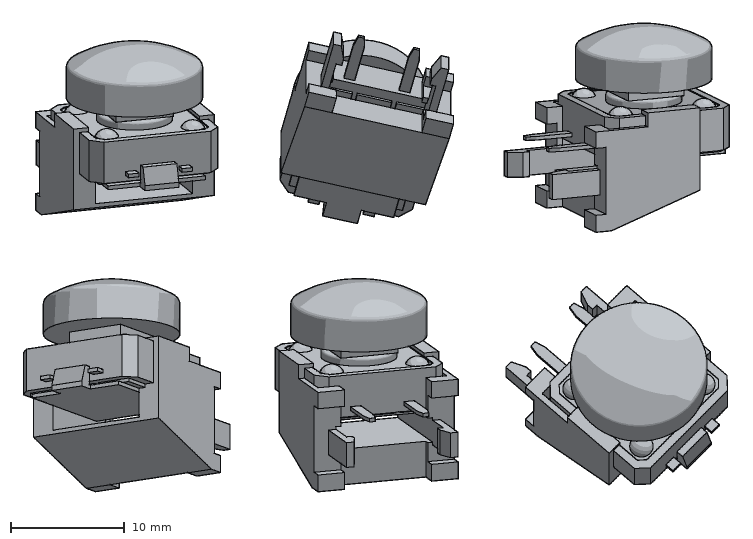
import cadquery as cq
import math


body_width = 12.0
body_half = body_width / 2
body_bottom = 6.15
body_top = 9.94
body_chamfer = 1.0
panel_width = 10.47
panel_chamfer = 0.59
panel_depth = 0.1
panel_floor = body_top - panel_depth

rivet_spacing = 8.0
rivet_diameter = 2.32
rivet_radius = rivet_diameter / 2
rivet_top = 10.47

plate_front_reach = 4.52
plate_back = 5.84
plate_bottom = 5.49
plate_top = 5.84
spacer_reach = 5.15
spacer_gap_inner = 1.57
spacer_gap_outer = 2.0
latch_width = 3.15
latch_top = 7.5
latch_top_reach = 6.68
latch_reach = 7.21
latch_slope_end = 5.95

pin_spacing = 5.0
pin_width = 0.99
pin_tip_width = 0.53
pin_bottom = 6.72
pin_top = 7.05
pin_front = -10.34
pin_taper_start = -9.37
pin_back = 6.85

collar_diameter = 6.7
collar_top = 10.58
collar_fillet = 0.25
stem_width = 5.35
cap_radius = 6.0
cap_bottom = 11.84
cap_side_top = 14.55
cap_top = 16.52
cap_edge_radius = 0.5

housing_width = 13.1
housing_front = -7.5
housing_back = 2.5
foot_depth = 0.99
column_face = housing_front + foot_depth
lower_foot_top = 1.54
upper_foot_bottom = 7.55
shoulder_height = 9.04
slope_end_height = 2.9
lip_front = -2.5
lip_top = 10.3
lip_inner = 5.16
column_inner = 4.06
window_half = 4.52
deck_top = 3.25

arm_tip = -11.09
arm_outer = 5.22
arm_bottom = 3.0
arm_top = 5.25
barb_inner = 3.99
barb_flat_start = -9.8
barb_back = -9.2


def block(x_range, y_range, z_range):
    """Axis-aligned block spanning the given (low, high) ranges."""
    sizes = [high - low for low, high in (x_range, y_range, z_range)]
    corner = (x_range[0], y_range[0], z_range[0])
    return cq.Workplane("XY").box(*sizes, centered=False).translate(corner)


def square_plate(width, bottom, top):
    """Square slab centred on the button axis."""
    return cq.Workplane("XY").workplane(offset=bottom).rect(width, width).extrude(top - bottom)


def side_prism(points, width):
    """Outline in the XZ plane, extruded evenly about Y = 0."""
    return cq.Workplane("XZ").polyline(points).close().extrude(width / 2, both=True)


def with_mirror(solid):
    """The solid together with its mirror image across Y = 0."""
    return solid.union(solid.mirror("XZ"))


def make_housing():
    outline = [
        (housing_front, 0),
        (-body_half, 0),
        (housing_back, slope_end_height),
        (housing_back, lip_top),
        (lip_front, lip_top),
        (lip_front, shoulder_height),
        (housing_front, shoulder_height),
        (housing_front, upper_foot_bottom),
        (column_face, upper_foot_bottom),
        (column_face, lower_foot_top),
        (housing_front, lower_foot_top),
    ]
    housing = side_prism(outline, housing_width)

    inside_x = (-body_half, housing_back)
    pocket = block(inside_x, (-body_half, body_half), (body_bottom, body_top))
    lip_gap = block(inside_x, (-lip_inner, lip_inner), (body_top, lip_top))
    plate_channel = block(inside_x, (-window_half, window_half), (plate_bottom, body_bottom))

    column_gap = block((housing_front, -body_half), (-column_inner, column_inner), (0, shoulder_height))
    window = block((housing_front, housing_back), (-window_half, window_half), (deck_top, plate_bottom))
    for opening in (pocket, lip_gap, plate_channel, column_gap, window):
        housing = housing.cut(opening)
    return housing


def make_snap_arms():
    outline = [
        (-body_half, arm_outer),
        (arm_tip, arm_outer),
        (arm_tip, window_half),
        (barb_flat_start, barb_inner),
        (barb_back, barb_inner),
        (barb_back, window_half),
        (-body_half, window_half),
    ]
    arm = cq.Workplane("XY").workplane(offset=arm_bottom).polyline(outline).close()
    return with_mirror(arm.extrude(arm_top - arm_bottom))


def make_body():
    body = square_plate(body_width, body_bottom, body_top).edges("|Z").chamfer(body_chamfer)
    recess = square_plate(panel_width, panel_floor, body_top).edges("|Z").chamfer(panel_chamfer)
    body = body.cut(recess)
    rivet_centers = cq.Workplane("XY").rect(rivet_spacing, rivet_spacing, forConstruction=True).vertices()
    spheres = rivet_centers.sphere(rivet_radius).translate((0, 0, rivet_top - rivet_radius))
    heads = spheres.intersect(square_plate(body_width, panel_floor, rivet_top))
    return body.union(heads)


def make_base():
    plate = block((-plate_front_reach, plate_back), (-window_half, window_half), (plate_bottom, plate_top))
    spacer = square_plate(2 * spacer_reach, plate_top, body_bottom)
    spacer_gap = block(
        (-body_half, body_half), (spacer_gap_inner, spacer_gap_outer), (plate_top, body_bottom)
    )
    latch = side_prism(
        [
            (0, plate_bottom),
            (latch_reach, plate_bottom),
            (latch_reach, latch_slope_end),
            (latch_top_reach, latch_top),
            (body_half, latch_top),
            (body_half, plate_top),
            (0, plate_top),
        ],
        latch_width,
    )
    return plate.union(spacer.cut(with_mirror(spacer_gap))).union(latch)


def make_pins():
    half = pin_width / 2
    tip_half = pin_tip_width / 2
    outline = [
        (pin_back, -half),
        (pin_back, half),
        (pin_taper_start, half),
        (pin_front, tip_half),
        (pin_front, -tip_half),
        (pin_taper_start, -half),
    ]
    pin = cq.Workplane("XY").polyline(outline).close().extrude(pin_top - pin_bottom)
    return with_mirror(pin.translate((0, pin_spacing / 2, pin_bottom)))


def make_button():
    collar = cq.Workplane("XY").workplane(offset=panel_floor).circle(collar_diameter / 2)
    collar = collar.extrude(collar_top - panel_floor).faces(">Z").edges().fillet(collar_fillet)
    stem = square_plate(stem_width, collar_top, cap_bottom)

    edge_center = cap_radius - cap_edge_radius
    rise = cap_top - cap_side_top
    dome_radius = (edge_center**2 + rise**2 - cap_edge_radius**2) / (2 * (rise - cap_edge_radius))
    dome_center = cap_top - dome_radius
    tangent_angle = math.asin(edge_center / (dome_radius - cap_edge_radius))

    def dome_point(angle):
        return dome_radius * math.sin(angle), dome_center + dome_radius * math.cos(angle)

    edge_angle = (tangent_angle + math.pi / 2) / 2
    edge_middle = (
        edge_center + cap_edge_radius * math.sin(edge_angle),
        cap_side_top + cap_edge_radius * math.cos(edge_angle),
    )
    profile = (
        cq.Workplane("XZ")
        .moveTo(0, cap_bottom)
        .lineTo(cap_radius, cap_bottom)
        .lineTo(cap_radius, cap_side_top)
        .threePointArc(edge_middle, dome_point(tangent_angle))
        .threePointArc(dome_point(tangent_angle / 2), (0, cap_top))
        .close()
    )
    cap = profile.revolve(360, (0, 0, 0), (0, 1, 0))
    return collar.union(stem).union(cap)


result = make_housing()
for component in (make_snap_arms(), make_base(), make_body(), make_pins(), make_button()):
    result = result.union(component)